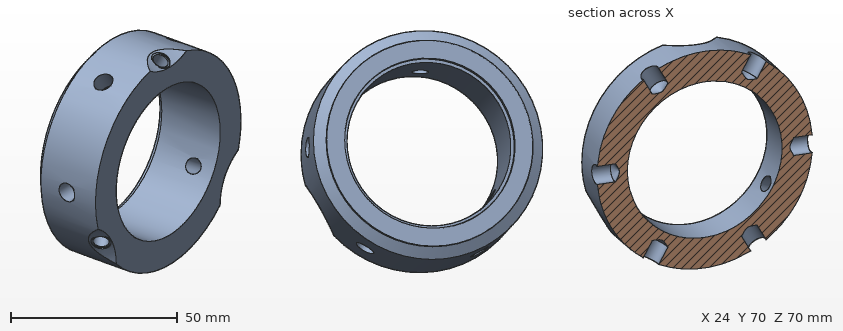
import cadquery as cq
import math

OUTER_RADIUS = 35.0
WIDTH = 24.0
BORE_RADIUS = 50.0 / 2
RECESS_RADIUS = 52.0 / 2
RECESS_DEPTH = 1.55
LIP_RADIUS = 31.5
LIP_LENGTH = 1.05
BEVEL_END = 3.0

SPANNER_HOLE_COUNT = 6
SPANNER_HOLE_START = 0.0
SPANNER_HOLE_RADIUS = 6.0 / 2
SPANNER_HOLE_DEPTH = 6.1
SPANNER_HOLE_X = 13.0
DRILL_TIP_ANGLE = 118.0

SCREW_COUNT = 3
SCREW_START = 90.0
SCREW_TILT = 30.0
SCREW_HOLE_RADIUS = 4.9 / 2
SCREW_RIM_RADIUS = 6.0 / 2
SCREW_RIM_DEPTH = 0.2
SCREW_SEAT_X = 21.15
SCREW_SEAT_RADIUS = 33.2
SCOOP_RADIUS = 19.6

CUT_LENGTH = 14.0


def around_x(shape, count, start_angle):
    """Copies of a shape built at the +Z top; angles run from +Y towards +Z."""
    angles = [start_angle + i * 360 / count for i in range(count)]
    return [shape.rotate((0, 0, 0), (1, 0, 0), angle - 90) for angle in angles]


def make_ring():
    profile = [
        (0, RECESS_RADIUS),
        (0, LIP_RADIUS),
        (LIP_LENGTH, LIP_RADIUS),
        (BEVEL_END, OUTER_RADIUS),
        (WIDTH, OUTER_RADIUS),
        (WIDTH, BORE_RADIUS),
        (RECESS_DEPTH, BORE_RADIUS),
        (RECESS_DEPTH, RECESS_RADIUS),
    ]
    return cq.Workplane("XY").polyline(profile).close().revolve(360, (0, 0, 0), (1, 0, 0))


def make_spanner_hole():
    """Drill shape with a conical tip, pointing at the ring's axis."""
    floor = OUTER_RADIUS - SPANNER_HOLE_DEPTH
    tip_length = SPANNER_HOLE_RADIUS / math.tan(math.radians(DRILL_TIP_ANGLE / 2))
    profile = [
        (0, floor - tip_length),
        (SPANNER_HOLE_RADIUS, floor),
        (SPANNER_HOLE_RADIUS, OUTER_RADIUS + 0.7),
        (0, OUTER_RADIUS + 0.7),
    ]
    drill = cq.Workplane("XZ").polyline(profile).close().revolve(360, (0, 0, 0), (0, 1, 0))
    return drill.translate((SPANNER_HOLE_X, 0, 0))


def make_screw_cut():
    """Cylindrical scoop, shallow rim and through hole, tilted towards the +X face."""
    scoop = (
        cq.Workplane("YZ")
        .center(0, SCOOP_RADIUS)
        .circle(SCOOP_RADIUS)
        .extrude(CUT_LENGTH, both=True)
    )
    rim = (
        cq.Workplane("XY", origin=(0, 0, -SCREW_RIM_DEPTH))
        .circle(SCREW_RIM_RADIUS)
        .extrude(CUT_LENGTH)
    )
    hole = cq.Workplane("XY").circle(SCREW_HOLE_RADIUS).extrude(CUT_LENGTH, both=True)
    cut = scoop.union(rim).union(hole).rotate((0, 0, 0), (0, 1, 0), SCREW_TILT)
    return cut.translate((SCREW_SEAT_X, 0, SCREW_SEAT_RADIUS))


result = make_ring()
for hole in around_x(make_spanner_hole(), SPANNER_HOLE_COUNT, SPANNER_HOLE_START):
    result = result.cut(hole)
for screw_cut in around_x(make_screw_cut(), SCREW_COUNT, SCREW_START):
    result = result.cut(screw_cut)